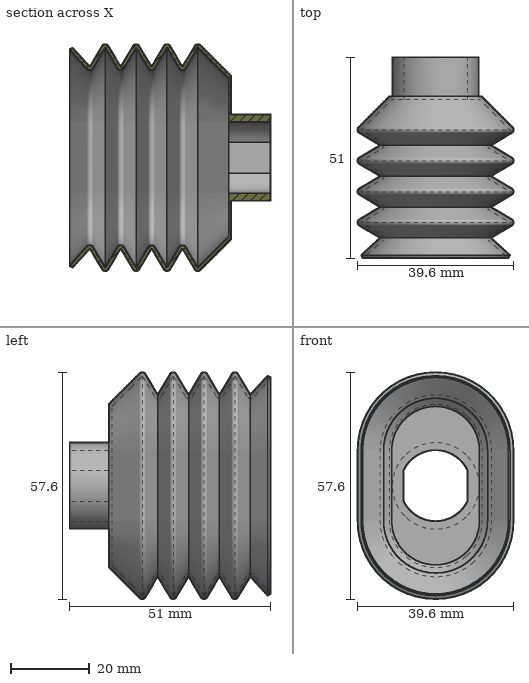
import cadquery as cq
import math

total_depth = 51.0
neck_depth = 9.95
shoulder_y = total_depth - neck_depth

straight_length = 18.0
half_straight = straight_length / 2

wall = 0.9
crest_radius = 19.8
valley_radius = 14.1
shoulder_radius = 11.75
fold_count = 4
fold_pitch = 7.85
first_valley_y = 5.1

lip_outer_radius = 18.9
lip_inner_radius = 18.5
lip_edge_depth = 0.75

neck_radius = 11.0
bore_radius = 9.0
bore_width = 16.2

inner_crest_radius = crest_radius - wall
valley_heights = [first_valley_y + i * fold_pitch for i in range(fold_count)]
valleys = [(valley_radius, y) for y in valley_heights]
crests = [(inner_crest_radius, y + fold_pitch / 2) for y in valley_heights]

shoulder = (shoulder_radius, shoulder_y)
floor_radius = 11.1
floor_y = crests[-1][1] + inner_crest_radius - floor_radius
floor_edge = (floor_radius, floor_y)
lip_outer = (lip_outer_radius, lip_edge_depth)
lip_inner = (lip_inner_radius, 0)


def tangent_point(centre, point, turn):
    """Point where a line from the given point touches the fold round about the centre."""
    toward = math.atan2(point[1] - centre[1], point[0] - centre[0])
    angle = toward + turn * math.acos(wall / math.dist(centre, point))
    return centre[0] + wall * math.cos(angle), centre[1] + wall * math.sin(angle)


def add_round(section, before, centre, after, outward):
    """Run tangentially from one corner onto a fold round, over its tip, towards the next corner."""
    tip = (centre[0] + outward * wall, centre[1])
    section = section.lineTo(*tangent_point(centre, before, 1))
    return section.threePointArc(tip, tangent_point(centre, after, -1))


def wall_section():
    """Half-section of the bellows wall and its closed end, from the axis outwards."""
    section = cq.Workplane("XY").moveTo(*lip_inner).lineTo(*lip_outer)
    outer_corners = valleys + [shoulder]
    for i, crest in enumerate(crests):
        section = section.lineTo(*outer_corners[i])
        section = add_round(section, outer_corners[i], crest, outer_corners[i + 1], 1)
    section = section.lineTo(*shoulder).lineTo(0, shoulder_y).lineTo(0, floor_y).lineTo(*floor_edge)
    inner_corners = [lip_inner] + crests
    for i in reversed(range(fold_count)):
        section = section.lineTo(*inner_corners[i + 1])
        section = add_round(section, inner_corners[i + 1], valleys[i], inner_corners[i], -1)
    return section.close()


def bellows():
    """Stadium-shaped bellows: two straight sides and two half-rounds of the same section."""
    side = wall_section().extrude(half_straight, both=True)
    round_end = wall_section().revolve(180, (0, 0, 0), (0, -1, 0))
    top = round_end.translate((0, 0, half_straight))
    return side.union(side.mirror("YZ")).union(top).union(top.mirror("XY"))


def neck():
    """Round neck behind the closed end."""
    plane = cq.Workplane("XZ", origin=(0, total_depth, 0))
    return plane.circle(neck_radius).extrude(neck_depth)


def bore():
    """Bore through the neck and the end wall, flattened on both X sides."""
    plane = cq.Workplane("XZ", origin=(0, total_depth, 0))
    bore_depth = total_depth - floor_y
    round_bore = plane.circle(bore_radius).extrude(bore_depth)
    flats = plane.rect(bore_width, 2 * bore_radius).extrude(bore_depth)
    return round_bore.intersect(flats)


result = bellows().union(neck()).cut(bore())